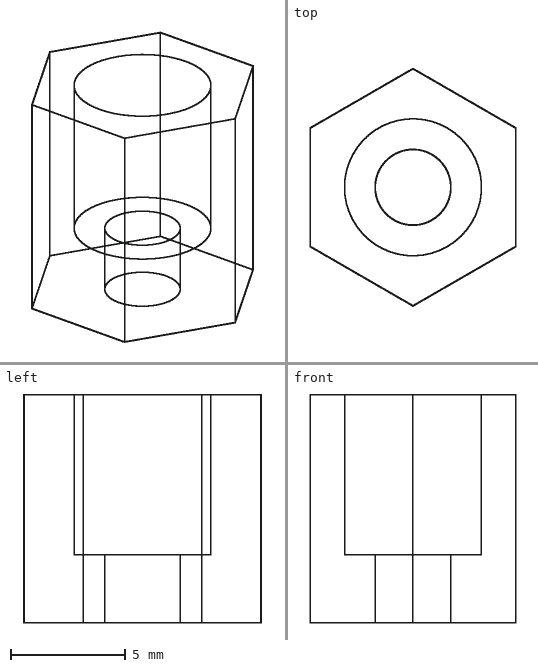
import cadquery as cq

across_corners = 10.39
height = 10.0

through_diameter = 3.3
counterbore_diameter = 6.0
counterbore_depth = 7.0


def hex_body():
    """Hexagonal prism with two of its corners on the Y axis."""
    corner_turn = 90
    prism = cq.Workplane("XY").polygon(6, across_corners).extrude(height)
    return prism.rotate((0, 0, 0), (0, 0, 1), corner_turn)


def cut_stepped_bore(body):
    """Drill the through hole and its wide counterbore from the top face."""
    return body.faces(">Z").workplane().cboreHole(
        through_diameter, counterbore_diameter, counterbore_depth
    )


result = cut_stepped_bore(hex_body())